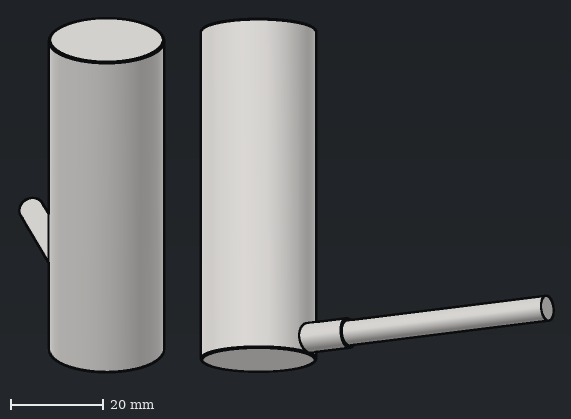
import cadquery as cq

body_diameter = 25.05
body_height = 73.0
edge_chamfer = 0.3

cable_diameter = 5.5
cable_reach = 72.5
sleeve_diameter = 6.5
sleeve_reach = 22.5
cable_axis_height = 3.5
cable_direction = (-1, 1, 0)


def make_body():
    """Plain cylinder with both rims broken by a small chamfer."""
    cylinder = cq.Workplane("XY").circle(body_diameter / 2).extrude(body_height)
    return cylinder.faces("<Z or >Z").chamfer(edge_chamfer)


def make_radial_rod(diameter, reach):
    """Round rod running from the body axis out along the cable direction."""
    root_plane = cq.Plane(origin=(0, 0, cable_axis_height), normal=cable_direction)
    return cq.Workplane(root_plane).circle(diameter / 2).extrude(reach)


sleeve = make_radial_rod(sleeve_diameter, sleeve_reach)
cable = make_radial_rod(cable_diameter, cable_reach)

result = make_body().union(sleeve).union(cable)